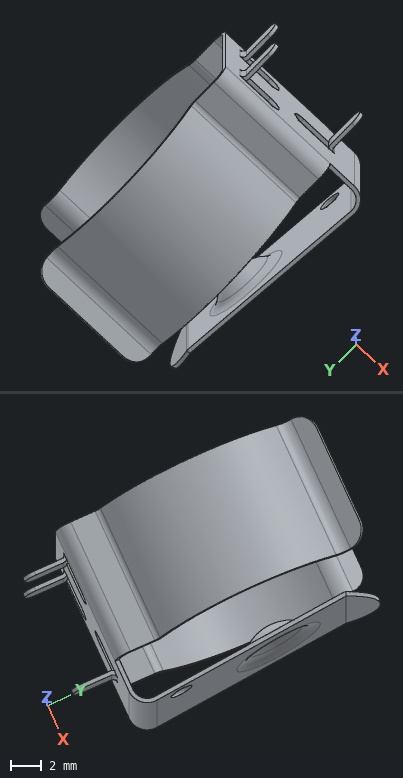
import cadquery as cq
import math


sheet = 0.3
half_sheet = sheet / 2
base_half_height = 4.45
arm_width = 9.5

arm_corner_inner_radius = 0.8
grip_outer_radius = 9.27
grip_center_y = 10.35
grip_top_z = 9.05
root_bend_radius = 0.5
mouth_bend_radius = 0.96
mouth_bend_y = 16.45
lip_angle = 30
lip_tip_y = 18.3
lip_corner_radius = 1.39

tab_corner_inner_radius = 1.0
tab_outer_x = 13.0
tab_lean = 5
tab_straight = 14.18
tab_kink_radius = 0.3
tab_kink_angle = 20
tab_tip_length = 2.26
tab_hole_diameter = 1.55
tab_hole_y = 3.25
tab_hole_z = 2.86

dimple_y = 10.5
dimple_rim_radius = 3.14
dimple_cap_radius = 2.2
dimple_height = 1.22
dimple_slope = 2 * math.degrees(math.atan(dimple_height / dimple_rim_radius))

pin_width = 1.58
pin_tip_y = -3.05
pin_bend_radius = 0.3
pin_pitch = 2.55
window_length = 3.57
left_root_x = 1.3
right_root_x = 9.86


def sin_deg(angle):
    return math.sin(math.radians(angle))


def cos_deg(angle):
    return math.cos(math.radians(angle))


def ahead(point, direction, distance):
    """Point reached from another one by going a distance in a direction (degrees)."""
    return (point[0] + distance * cos_deg(direction), point[1] + distance * sin_deg(direction))


def bent_strip(plane, start, heading, steps, width, both=False):
    """Sheet strip whose mid-line follows steps of (length, None) or (mid radius, turn angle).

    Positive turns are to the left.  Returns the solid, the end of the mid-line and its heading.
    """
    def sides(point, direction):
        return [ahead(point, direction + side, half_sheet) for side in (90, -90)]

    stations = [sides(start, heading)]
    middles = []
    point = start
    for size, turn in steps:
        if turn is None:
            point = ahead(point, heading, size)
            middles.append(None)
        else:
            inward = heading + math.copysign(90, turn)
            center = ahead(point, inward, size)
            middle = ahead(center, inward + 180 + turn / 2, size)
            middles.append(sides(middle, heading + turn / 2))
            point = ahead(center, inward + 180 + turn, size)
            heading += turn
        stations.append(sides(point, heading))

    outline = cq.Workplane(plane).moveTo(*stations[0][0])
    for middle, station in zip(middles, stations[1:]):
        if middle is None:
            outline = outline.lineTo(*station[0])
        else:
            outline = outline.threePointArc(middle[0], station[0])
    outline = outline.lineTo(*stations[-1][1])
    for middle, station in zip(reversed(middles), reversed(stations[:-1])):
        if middle is None:
            outline = outline.lineTo(*station[1])
        else:
            outline = outline.threePointArc(middle[1], station[1])
    return outline.close().extrude(width, both=both), point, heading


def make_arm():
    """Upper half of the base plate with the upper arm and its flared lip."""
    corner_mid_radius = arm_corner_inner_radius + half_sheet
    grip_mid_radius = grip_outer_radius - half_sheet
    root_mid_radius = root_bend_radius + half_sheet
    mouth_mid_radius = mouth_bend_radius + half_sheet

    grip_center_z = grip_top_z - grip_outer_radius
    flange_outer_z = base_half_height + arm_corner_inner_radius + sheet
    root_distance = grip_outer_radius + root_bend_radius
    root_rise = flange_outer_z + root_bend_radius - grip_center_z
    root_angle = math.degrees(math.acos(root_rise / root_distance))
    root_y = grip_center_y - root_distance * sin_deg(root_angle)
    mouth_distance = grip_outer_radius + mouth_bend_radius
    mouth_angle = math.degrees(math.asin((mouth_bend_y - grip_center_y) / mouth_distance))

    lip_start_y = mouth_bend_y + mouth_mid_radius * sin_deg(lip_angle)
    lip_end_y = lip_tip_y - half_sheet * sin_deg(lip_angle)
    lip_length = (lip_end_y - lip_start_y) / cos_deg(lip_angle)

    steps = [
        (base_half_height, None),
        (corner_mid_radius, -90),
        (root_y - arm_corner_inner_radius - sheet, None),
        (root_mid_radius, root_angle),
        (grip_mid_radius, -root_angle - mouth_angle),
        (mouth_mid_radius, mouth_angle + lip_angle),
        (lip_length, None),
    ]
    arm, _, _ = bent_strip("YZ", (half_sheet, 0), 90, steps, arm_width)
    return arm.faces(">Y").edges("not |X").fillet(lip_corner_radius)


def dimple_solid(cap_radius):
    """Round cap with a tangent flare down to the XY plane, rising along +Z."""
    sphere_radius = cap_radius / sin_deg(dimple_slope)
    flare_radius = (dimple_rim_radius - cap_radius) / sin_deg(dimple_slope)
    cap_middle = (
        sphere_radius * sin_deg(dimple_slope / 2),
        dimple_height - sphere_radius * (1 - cos_deg(dimple_slope / 2)),
    )
    cap_edge = (cap_radius, dimple_height - sphere_radius * (1 - cos_deg(dimple_slope)))
    flare_middle = (
        dimple_rim_radius - flare_radius * sin_deg(dimple_slope / 2),
        flare_radius * (1 - cos_deg(dimple_slope / 2)),
    )
    return (
        cq.Workplane("XZ")
        .moveTo(0, dimple_height)
        .threePointArc(cap_middle, cap_edge)
        .threePointArc(flare_middle, (dimple_rim_radius, 0))
        .lineTo(0, 0)
        .close()
        .revolve(360, (0, 0), (0, 1))
    )


def make_tab():
    """Leaning contact tab with its rounded tip, round hole and pressed dimple."""
    corner_mid_radius = tab_corner_inner_radius + half_sheet
    corner_x = tab_outer_x - tab_corner_inner_radius - sheet
    steps = [
        (corner_x - arm_width, None),
        (corner_mid_radius, 90 + tab_lean),
        (tab_straight, None),
        (tab_kink_radius, -tab_kink_angle),
    ]
    start = (arm_width, half_sheet)
    tab, end, heading = bent_strip("XY", start, 0, steps, base_half_height, both=True)

    tip_plane = cq.Plane(
        origin=(end[0], end[1], 0),
        xDir=(cos_deg(heading), sin_deg(heading), 0),
        normal=(sin_deg(heading), -cos_deg(heading), 0),
    )
    tip = (
        cq.Workplane(tip_plane)
        .moveTo(0, -base_half_height)
        .threePointArc((tab_tip_length, 0), (0, base_half_height))
        .close()
        .extrude(half_sheet, both=True)
    )
    tab = tab.union(tip)

    corner_y = tab_corner_inner_radius + sheet
    lean_slope = math.tan(math.radians(tab_lean))

    def lean_x(y):
        return corner_x + corner_mid_radius / cos_deg(tab_lean) - (y - corner_y) * lean_slope

    inward = (-cos_deg(tab_lean), -sin_deg(tab_lean), 0)

    def lean_plane(y, z, offset):
        origin = (lean_x(y) + offset * inward[0], y + offset * inward[1], z)
        return cq.Plane(origin=origin, xDir=(0, 0, 1), normal=inward)

    hole = (
        cq.Workplane(lean_plane(tab_hole_y, tab_hole_z, 0))
        .circle(tab_hole_diameter / 2)
        .extrude(sheet, both=True)
    )

    hollow_cap_radius = dimple_cap_radius - sheet * sin_deg(dimple_slope)
    dimple = dimple_solid(dimple_cap_radius)
    hollow = dimple_solid(hollow_cap_radius)
    dimple = dimple.val().moved(lean_plane(dimple_y, 0, half_sheet).location)
    hollow = hollow.val().moved(lean_plane(dimple_y, 0, -half_sheet).location)
    return tab.cut(hole).union(dimple).cut(hollow)


def make_window(root_x, z, direction):
    """Opening in the base plate from a pin's root to its round far end; direction is +1 or -1 in X."""
    end_radius = pin_width / 2
    straight_end = root_x + direction * (window_length - end_radius)
    return (
        cq.Workplane("XZ")
        .moveTo(root_x, z - end_radius)
        .lineTo(straight_end, z - end_radius)
        .threePointArc((root_x + direction * window_length, z), (straight_end, z + end_radius))
        .lineTo(root_x, z + end_radius)
        .close()
        .extrude(-sheet)
    )


def make_pin(root_x, z, direction):
    """Solder pin bent out of the base plate toward -Y, with a round tip."""
    end_radius = pin_width / 2
    steps = [
        (pin_bend_radius + half_sheet, -90 * direction),
        (-pin_tip_y - pin_bend_radius, None),
    ]
    heading = 0 if direction > 0 else 180
    strip, _, _ = bent_strip("XY", (root_x, half_sheet), heading, steps, end_radius, both=True)
    tip_start = pin_tip_y + end_radius
    side_outline = (
        cq.Workplane("YZ")
        .moveTo(sheet, -end_radius)
        .lineTo(tip_start, -end_radius)
        .threePointArc((pin_tip_y, 0), (tip_start, end_radius))
        .lineTo(sheet, end_radius)
        .close()
        .extrude(tab_outer_x)
    )
    return strip.intersect(side_outline).translate((0, 0, z))


upper_arm = make_arm()
result = upper_arm.union(upper_arm.mirror("XY")).union(make_tab())

pins = [(left_root_x, pin_pitch, 1), (left_root_x, -pin_pitch, 1), (right_root_x, 0, -1)]
for root_x, z, direction in pins:
    result = result.cut(make_window(root_x, z, direction))
    result = result.union(make_pin(root_x, z, direction))